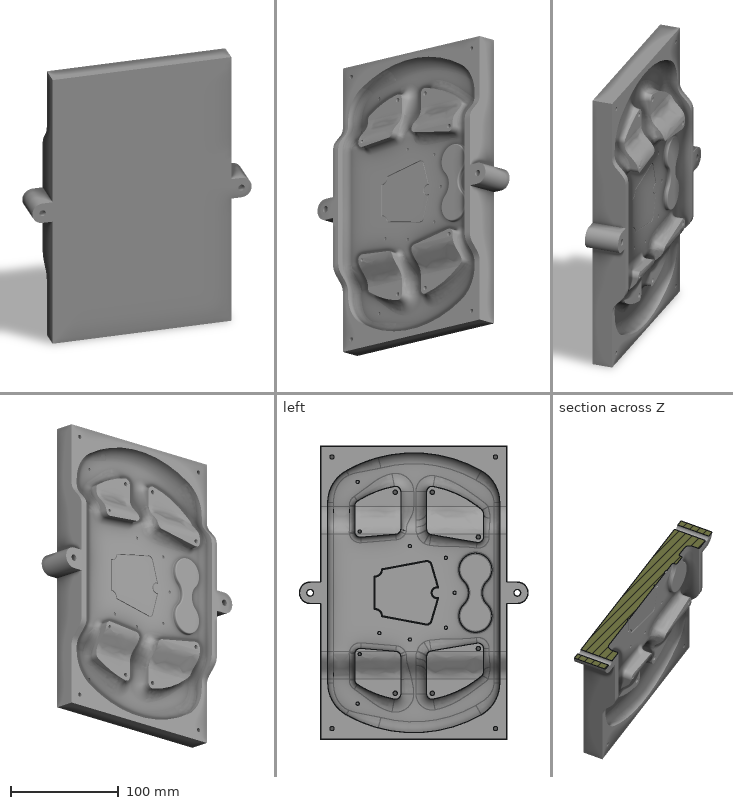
import cadquery as cq
import math

THICKNESS = 33.0
PLATE_HALF_WIDTH = 86.3
PLATE_HALF_HEIGHT = 136.0

STEP_DROP = 13.5
STEP_START = 54.5
STEP_END = 79.9
STEP_HANDLE = STEP_END - STEP_START - STEP_DROP

EAR_CENTRE = 96.0
EAR_RADIUS = 10.0
EAR_HOLE_DIAMETER = 6.0

POCKET_DEPTH = 12.6
LOW_FLOOR_X = POCKET_DEPTH + STEP_DROP
POCKET_HALF_WIDTH = 79.8
POCKET_STRAIGHT_END = 83.5
END_ARC_RADIUS = 126.4
END_ARC_CENTRE = 3.3
SIDE_FLOOR_RADIUS = 5.4
CORNER_FLOOR_RADIUS = 4.8
END_FLOOR_RADIUS = 10.0
FULL_FILLET_Y = 33.0

PAD_TOP_RADIUS = 97.0
PAD_CORNER_RADIUS = 5.0
PAD_INNER_Y = 12.0
LEFT_PAD_OUTER_Y = 54.6
LEFT_PAD_INNER_Z = 54.7
LEFT_PAD_OUTER_Z = 51.1
RIGHT_PAD_OUTER_Y = -64.6
RIGHT_PAD_INNER_Z = 54.6
RIGHT_PAD_OUTER_Z = 45.7
PAD_SMALL_FLOOR_RADIUS = 5.2
LEFT_PAD_LARGE_FLOOR_RADIUS = 12.0
RIGHT_PAD_LARGE_FLOOR_RADIUS = 10.0
RIGHT_PAD_OUTER_FLOOR_RADIUS = 6.5
MARK_REACH = 8.0

ISLAND_Y = -57.2
ISLAND_LOBE_Z = 21.5
ISLAND_LOBE_RADIUS = 15.2
ISLAND_WAIST_HALF_WIDTH = 6.1
ISLAND_HEIGHT = 4.0
ISLAND_EDGE_RADIUS = 1.0

GROOVE_WIDTH = 0.9
GROOVE_DEPTH = 1.0
KEYSTONE_BASE_Y = 36.2
KEYSTONE_BASE_HALF = 15.0
KEYSTONE_NOTCH = 6.7
KEYSTONE_SHOULDER_Y = -15.2
KEYSTONE_SHOULDER_Z = 30.1
KEYSTONE_TIP_Y = -22.6
KEYSTONE_TIP_Z = 4.9
KEYSTONE_TIP_NOTCH_DEPTH = 6.0
KEYSTONE_SHOULDER_RADIUS = 4.5

CORNER_HOLE_Y = 75.8
CORNER_HOLE_Z = 125.9
PAD_HOLE_Y = 17.2
PAD_HOLE_Z = 93.2
RIGHT_PAD_CORNER_HOLE = (-59.9, 51.7)
LEFT_PAD_CORNER_HOLE = (50.1, 56.8)
FACE_HOLE_DIAMETER = 4.0
FACE_HOLE_DEPTH = 6.0

END_FLOOR_HOLE = (52.0, 102.8)
PAIRED_FLOOR_HOLES = [(3.6, 43.3), (-29.8, 32.4)]
SINGLE_FLOOR_HOLES = [(-37.9, 0), (31.9, -37.4)]
SMALL_HOLE_DIAMETER = 3.0
FLOOR_HOLE_DEPTH = 1.0


def worked_surface_prism(offset):
    """Everything behind the worked face, moved inward along X by the offset."""
    low = offset + STEP_DROP
    profile = (
        cq.Workplane("XZ", origin=(0, PLATE_HALF_WIDTH, 0))
        .moveTo(THICKNESS, 0)
        .lineTo(offset, 0)
        .lineTo(offset, STEP_START)
        .bezier(
            [
                (offset, STEP_START),
                (offset, STEP_START + STEP_HANDLE),
                (low, STEP_END - STEP_HANDLE),
                (low, STEP_END),
            ]
        )
        .lineTo(low, PLATE_HALF_HEIGHT)
        .lineTo(THICKNESS, PLATE_HALF_HEIGHT)
        .close()
    )
    half = profile.extrude(2 * PLATE_HALF_WIDTH)
    return half.union(half.mirror("XY")).clean()


def ears():
    body = cq.Workplane("YZ").slot2D(2 * (EAR_CENTRE + EAR_RADIUS), 2 * EAR_RADIUS).extrude(THICKNESS)
    inside = cq.Workplane("YZ").rect(2 * PLATE_HALF_WIDTH, 4 * EAR_RADIUS).extrude(THICKNESS)
    return body.cut(inside)


def pocket_corner():
    """Middle and end points of the tangent arc that joins a pocket side to an end arc."""
    rise = POCKET_STRAIGHT_END - END_ARC_CENTRE
    reach = END_ARC_RADIUS**2 - POCKET_HALF_WIDTH**2 - rise**2
    radius = reach / (2 * (END_ARC_RADIUS - POCKET_HALF_WIDTH))
    centre_y = POCKET_HALF_WIDTH - radius
    angle = math.atan2(rise, centre_y)
    end = (END_ARC_RADIUS * math.cos(angle), END_ARC_CENTRE + END_ARC_RADIUS * math.sin(angle))
    middle = (
        centre_y + radius * math.cos(angle / 2),
        POCKET_STRAIGHT_END + radius * math.sin(angle / 2),
    )
    return middle, end


def pocket_end_z(y):
    return END_ARC_CENTRE + math.sqrt(END_ARC_RADIUS**2 - y**2)


def pocket_outline():
    """Straight sides and two end arcs, each arc split where its floor fillet reaches full size."""
    middle, end = pocket_corner()
    split_z = pocket_end_z(FULL_FILLET_Y)
    side_y = (end[0] + FULL_FILLET_Y) / 2
    side_z = pocket_end_z(side_y)
    crown_z = pocket_end_z(0)
    return (
        cq.Workplane("YZ")
        .moveTo(POCKET_HALF_WIDTH, -POCKET_STRAIGHT_END)
        .lineTo(POCKET_HALF_WIDTH, POCKET_STRAIGHT_END)
        .threePointArc(middle, end)
        .threePointArc((side_y, side_z), (FULL_FILLET_Y, split_z))
        .threePointArc((0, crown_z), (-end[0], end[1]))
        .threePointArc((-middle[0], middle[1]), (-POCKET_HALF_WIDTH, POCKET_STRAIGHT_END))
        .lineTo(-POCKET_HALF_WIDTH, -POCKET_STRAIGHT_END)
        .threePointArc((-middle[0], -middle[1]), (-end[0], -end[1]))
        .threePointArc((0, -crown_z), (FULL_FILLET_Y, -split_z))
        .threePointArc((side_y, -side_z), (end[0], -end[1]))
        .threePointArc((middle[0], -middle[1]), (POCKET_HALF_WIDTH, -POCKET_STRAIGHT_END))
        .close()
    )


def pad_crown_z(y):
    return END_ARC_CENTRE + math.sqrt(PAD_TOP_RADIUS**2 - y**2)


def pad(inner_y, outer_y, inner_z, outer_z):
    middle_y = (inner_y + outer_y) / 2
    return (
        cq.Workplane("YZ")
        .moveTo(inner_y, inner_z)
        .lineTo(inner_y, pad_crown_z(inner_y))
        .threePointArc((middle_y, pad_crown_z(middle_y)), (outer_y, pad_crown_z(outer_y)))
        .lineTo(outer_y, outer_z)
        .close()
        .extrude(THICKNESS)
        .edges("|X")
        .fillet(PAD_CORNER_RADIUS)
    )


def blend_floor(solid, seed, radius_marks):
    """Fillet the floor edge chain through the seed point, with a radius that varies along it.

    Each mark is (y, z, radius). Chain vertices near a mark take its radius, and the radius runs
    smoothly between them.
    """
    seed_vertex = cq.Vertex.makeVertex(*seed)
    seed_edge = min(solid.Edges(), key=lambda edge: edge.distance(seed_vertex))
    maker = cq.occ_impl.shapes.BRepFilletAPI_MakeFillet(solid.wrapped)
    maker.Add(seed_edge.wrapped)
    chain = [cq.Edge(maker.Edge(1, i)) for i in range(1, maker.NbEdges(1) + 1)]
    for vertex in {v for edge in chain for v in edge.Vertices()}:
        for y, z, radius in radius_marks:
            if math.hypot(vertex.Y - y, vertex.Z - z) < MARK_REACH:
                maker.SetRadius(radius, 1, vertex.wrapped)
    return cq.Shape.cast(maker.Shape()).Solids()[0]


def pocket_marks():
    _, (end_y, end_z) = pocket_corner()
    marks = []
    for side_z in (1, -1):
        marks.append((FULL_FILLET_Y, side_z * pocket_end_z(FULL_FILLET_Y), END_FLOOR_RADIUS))
        marks.append((-end_y, side_z * end_z, END_FLOOR_RADIUS))
        marks.append((end_y, side_z * end_z, CORNER_FLOOR_RADIUS))
        for side_y in (1, -1):
            marks.append((side_y * POCKET_HALF_WIDTH, side_z * POCKET_STRAIGHT_END, SIDE_FLOOR_RADIUS))
    return marks


LEFT_PAD_MARKS = [
    (PAD_INNER_Y, pad_crown_z(PAD_INNER_Y), LEFT_PAD_LARGE_FLOOR_RADIUS),
    (PAD_INNER_Y, LEFT_PAD_INNER_Z, PAD_SMALL_FLOOR_RADIUS),
    (LEFT_PAD_OUTER_Y, LEFT_PAD_OUTER_Z, PAD_SMALL_FLOOR_RADIUS),
    (LEFT_PAD_OUTER_Y, pad_crown_z(LEFT_PAD_OUTER_Y), PAD_SMALL_FLOOR_RADIUS),
]
RIGHT_PAD_MARKS = [
    (-PAD_INNER_Y, pad_crown_z(PAD_INNER_Y), RIGHT_PAD_LARGE_FLOOR_RADIUS),
    (-PAD_INNER_Y, RIGHT_PAD_INNER_Z, RIGHT_PAD_LARGE_FLOOR_RADIUS),
    (RIGHT_PAD_OUTER_Y, RIGHT_PAD_OUTER_Z, PAD_SMALL_FLOOR_RADIUS),
    (RIGHT_PAD_OUTER_Y, pad_crown_z(RIGHT_PAD_OUTER_Y), RIGHT_PAD_OUTER_FLOOR_RADIUS),
]


def pocketed_plate():
    left_pad = pad(PAD_INNER_Y, LEFT_PAD_OUTER_Y, LEFT_PAD_INNER_Z, LEFT_PAD_OUTER_Z)
    right_pad = pad(-PAD_INNER_Y, RIGHT_PAD_OUTER_Y, RIGHT_PAD_INNER_Z, RIGHT_PAD_OUTER_Z)
    pocket = pocket_outline().extrude(THICKNESS, clean=False)
    pocket = pocket.cut(worked_surface_prism(POCKET_DEPTH), clean=False)
    for raised in (left_pad, right_pad):
        pocket = pocket.cut(raised, clean=False).cut(raised.mirror("XY"), clean=False)
    solid = worked_surface_prism(0).cut(pocket, clean=False).solids().val()

    solid = blend_floor(solid, (POCKET_DEPTH, POCKET_HALF_WIDTH, 0), pocket_marks())
    for inner_y, marks in ((PAD_INNER_Y, LEFT_PAD_MARKS), (-PAD_INNER_Y, RIGHT_PAD_MARKS)):
        for side in (1, -1):
            side_marks = [(y, side * z, radius) for y, z, radius in marks]
            solid = blend_floor(solid, (LOW_FLOOR_X, inner_y, side * POCKET_STRAIGHT_END), side_marks)
    return cq.Workplane(solid)


def island():
    """Two round lobes joined by a waist whose concave sides are tangent to both lobes."""
    waist_radius = (
        ISLAND_LOBE_RADIUS**2 - ISLAND_WAIST_HALF_WIDTH**2 - ISLAND_LOBE_Z**2
    ) / (2 * (ISLAND_WAIST_HALF_WIDTH - ISLAND_LOBE_RADIUS))
    waist_centre = ISLAND_WAIST_HALF_WIDTH + waist_radius
    share = ISLAND_LOBE_RADIUS / (ISLAND_LOBE_RADIUS + waist_radius)
    joint_y = share * waist_centre
    joint_z = ISLAND_LOBE_Z * (1 - share)
    tip_z = ISLAND_LOBE_Z + ISLAND_LOBE_RADIUS
    return (
        cq.Workplane("YZ", origin=(POCKET_DEPTH, ISLAND_Y, 0))
        .moveTo(joint_y, -joint_z)
        .threePointArc((ISLAND_WAIST_HALF_WIDTH, 0), (joint_y, joint_z))
        .threePointArc((0, tip_z), (-joint_y, joint_z))
        .threePointArc((-ISLAND_WAIST_HALF_WIDTH, 0), (-joint_y, -joint_z))
        .threePointArc((0, -tip_z), (joint_y, -joint_z))
        .close()
        .extrude(-ISLAND_HEIGHT)
        .faces("<X")
        .edges()
        .fillet(ISLAND_EDGE_RADIUS)
    )


def island_foot():
    """Selects the edges where the island meets the pocket floor."""
    reach_y = ISLAND_LOBE_RADIUS + ISLAND_EDGE_RADIUS / 2
    reach_z = reach_y + ISLAND_LOBE_Z
    return cq.selectors.BoxSelector(
        (POCKET_DEPTH - ISLAND_EDGE_RADIUS, ISLAND_Y - reach_y, -reach_z),
        (POCKET_DEPTH + ISLAND_EDGE_RADIUS, ISLAND_Y + reach_y, reach_z),
    )


def keystone(inset):
    """Keystone block at the groove, its outline moved inward by the inset."""
    diagonal = KEYSTONE_NOTCH * math.sqrt(0.5)
    side_y = KEYSTONE_BASE_Y - KEYSTONE_NOTCH
    side_z = KEYSTONE_BASE_HALF + KEYSTONE_NOTCH
    notch_y = KEYSTONE_BASE_Y - diagonal
    notch_z = side_z - diagonal
    outline = (
        cq.Workplane("YZ", origin=(POCKET_DEPTH, 0, 0))
        .moveTo(KEYSTONE_BASE_Y, -KEYSTONE_BASE_HALF)
        .lineTo(KEYSTONE_BASE_Y, KEYSTONE_BASE_HALF)
        .threePointArc((notch_y, notch_z), (side_y, side_z))
        .lineTo(KEYSTONE_SHOULDER_Y, KEYSTONE_SHOULDER_Z)
        .lineTo(KEYSTONE_TIP_Y, KEYSTONE_TIP_Z)
        .threePointArc((KEYSTONE_TIP_Y + KEYSTONE_TIP_NOTCH_DEPTH, 0), (KEYSTONE_TIP_Y, -KEYSTONE_TIP_Z))
        .lineTo(KEYSTONE_SHOULDER_Y, -KEYSTONE_SHOULDER_Z)
        .lineTo(side_y, -side_z)
        .threePointArc((notch_y, -notch_z), (KEYSTONE_BASE_Y, -KEYSTONE_BASE_HALF))
        .close()
    )
    shoulders = cq.selectors.BoxSelector(
        (0, KEYSTONE_SHOULDER_Y - GROOVE_WIDTH, -PLATE_HALF_HEIGHT),
        (THICKNESS, KEYSTONE_SHOULDER_Y + GROOVE_WIDTH, PLATE_HALF_HEIGHT),
    )
    block = outline.extrude(GROOVE_DEPTH).edges("|X").edges(shoulders).fillet(KEYSTONE_SHOULDER_RADIUS)
    return block.faces("<X").wires().toPending().offset2D(-inset).extrude(GROOVE_DEPTH, combine=False)


def both_ends(places):
    """The (y, z) places together with their mirror images in Z."""
    return [(y, side * z) for y, z in places for side in (1, -1)]


def holes(places, surface_x, diameter, depth):
    mouth = cq.Workplane("YZ", origin=(surface_x, 0, 0))
    return mouth.pushPoints(places).circle(diameter / 2).extrude(depth)


def face_holes():
    low_places = [
        (side * y, z)
        for y, z in ((CORNER_HOLE_Y, CORNER_HOLE_Z), (PAD_HOLE_Y, PAD_HOLE_Z))
        for side in (1, -1)
    ]
    return [
        holes(both_ends(low_places), STEP_DROP, FACE_HOLE_DIAMETER, FACE_HOLE_DEPTH),
        holes(both_ends([RIGHT_PAD_CORNER_HOLE]), 0, FACE_HOLE_DIAMETER, FACE_HOLE_DEPTH),
        holes(both_ends([LEFT_PAD_CORNER_HOLE]), 0, SMALL_HOLE_DIAMETER, FACE_HOLE_DEPTH),
    ]


def floor_holes():
    mid_places = both_ends(PAIRED_FLOOR_HOLES) + SINGLE_FLOOR_HOLES
    return [
        holes(mid_places, POCKET_DEPTH, SMALL_HOLE_DIAMETER, FLOOR_HOLE_DEPTH),
        holes(both_ends([END_FLOOR_HOLE]), LOW_FLOOR_X, SMALL_HOLE_DIAMETER, FLOOR_HOLE_DEPTH),
    ]


def ear_holes():
    return holes([(EAR_CENTRE, 0), (-EAR_CENTRE, 0)], 0, EAR_HOLE_DIAMETER, THICKNESS)


result = pocketed_plate().union(island()).edges(island_foot()).fillet(ISLAND_EDGE_RADIUS)
result = result.union(ears())
result = result.cut(keystone(-GROOVE_WIDTH / 2).cut(keystone(GROOVE_WIDTH / 2)))
for cutter in [*face_holes(), *floor_holes(), ear_holes()]:
    result = result.cut(cutter)